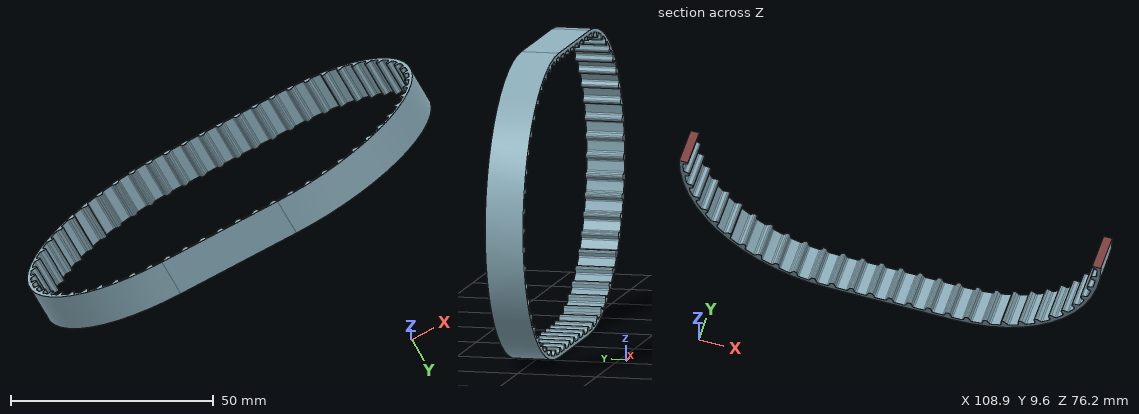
import cadquery as cq
import math

length = 108.9
height = 76.2
belt_width = 9.6
end_radius = height / 2
half_straight = (length - height) / 2

band_thickness = 1.01
pitch_line_depth = 1.03
tooth_height = 1.3
tip_depth = band_thickness + tooth_height

tooth_count = 60
tooth_root_width = 2.1
flank_angle = math.radians(25)
corner_radius = 0.4

pitch_radius = end_radius - pitch_line_depth
half_turn = math.pi * pitch_radius
half_loop = 2 * half_straight + half_turn
pitch = 2 * half_loop / tooth_count


def on_straight_run(travel):
    """True if a distance along the half loop falls on its straight run."""
    return travel <= 2 * half_straight


def place(travel, depth):
    """X, Z point at a pitch line distance clockwise from top centre, at a depth below the outer face."""
    half_index, local = divmod(travel + half_straight, half_loop)
    side = -1 if half_index % 2 else 1
    radius = end_radius - depth
    if on_straight_run(local):
        x = local - half_straight
        z = radius
    else:
        angle = (local - 2 * half_straight) / pitch_radius
        x = half_straight + radius * math.sin(angle)
        z = radius * math.cos(angle)
    return side * x, side * z


def tooth_half_profile():
    """Points of one tooth side as (offset from tooth centre, depth), from root to tip.

    They are start, middle and end of the root round, then start, middle and end of the tip round.
    """
    half_root = tooth_root_width / 2
    half_tip = half_root - tooth_height * math.tan(flank_angle)
    turn = math.pi / 2 - flank_angle
    setback = corner_radius * math.tan(turn / 2)
    root_centre = (half_root + setback, band_thickness + corner_radius)
    tip_centre = (half_tip - setback, tip_depth - corner_radius)
    sweep = [0, turn / 2, turn]
    root_round = [
        (root_centre[0] - corner_radius * math.sin(a), root_centre[1] - corner_radius * math.cos(a))
        for a in sweep
    ]
    tip_round = [
        (tip_centre[0] + corner_radius * math.sin(a), tip_centre[1] + corner_radius * math.cos(a))
        for a in reversed(sweep)
    ]
    return root_round + tip_round


def add_tooth(outline, centre, side_points):
    """Continue the outline from the root of a tooth, over its tip and back to the root."""
    rising = [place(centre - offset, depth) for offset, depth in side_points]
    falling = [place(centre + offset, depth) for offset, depth in reversed(side_points)]
    outline = outline.threePointArc(rising[1], rising[2]).lineTo(*rising[3])
    outline = outline.threePointArc(rising[4], rising[5]).lineTo(*falling[0])
    outline = outline.threePointArc(falling[1], falling[2]).lineTo(*falling[3])
    return outline.threePointArc(falling[4], falling[5])


def add_gap(outline, start, end):
    """Continue the outline along the band between two teeth."""
    middle = (start + end) / 2
    if on_straight_run((middle + half_straight) % half_loop):
        return outline.lineTo(*place(end, band_thickness))
    return outline.threePointArc(place(middle, band_thickness), place(end, band_thickness))


def toothed_opening():
    """Inside of the belt as a solid."""
    side_points = tooth_half_profile()
    half_foot = side_points[0][0]
    outline = cq.Workplane("XZ").moveTo(*place(-half_foot, band_thickness))
    for index in range(tooth_count):
        centre = index * pitch
        outline = add_tooth(outline, centre, side_points)
        outline = add_gap(outline, centre + half_foot, centre + pitch - half_foot)
    return outline.close().extrude(belt_width / 2, both=True)


loop = cq.Workplane("XZ").slot2D(length, height).extrude(belt_width / 2, both=True)
result = loop.cut(toothed_opening())